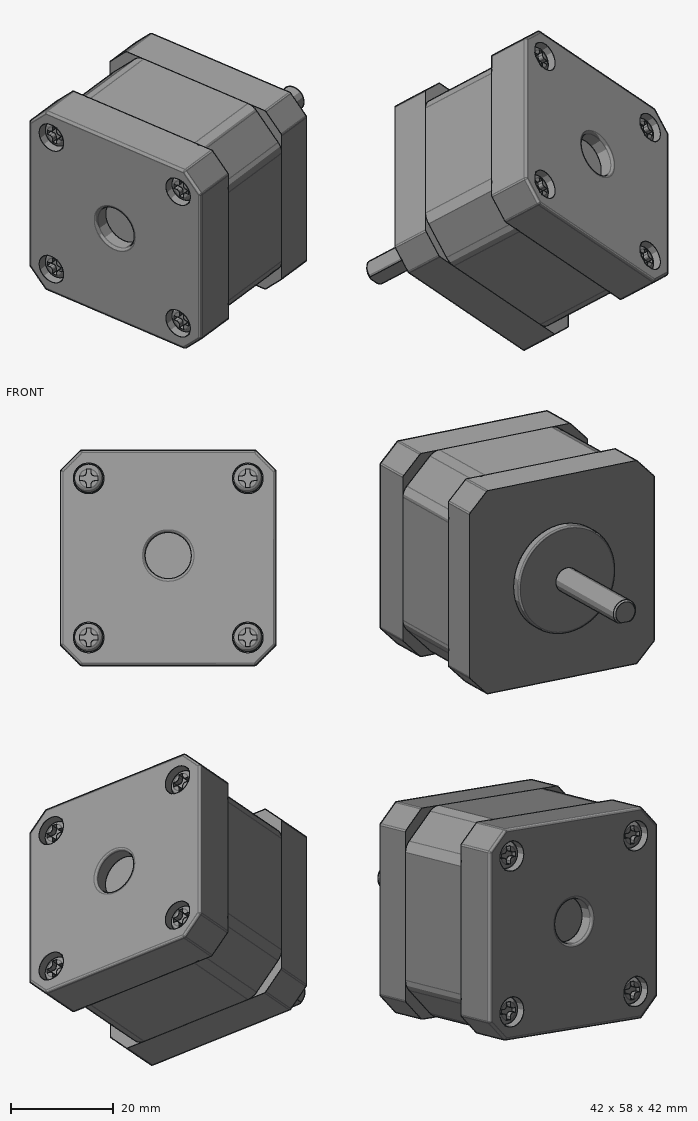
import cadquery as cq


total_length = 58.0
body_width = 42.0

rear_cap_length = 9.0
stator_length = 17.1
front_cap_length = 8.0
boss_length = 1.9

cap_corner_cut = 4.0
edge_fillet = 0.5

stator_corner_cut = 7.0
stator_corner_fillet = 3.0

boss_diameter = 22.0
boss_fillet = 0.35
shaft_diameter = 5.05
shaft_chamfer = 0.35
shaft_flat_offset = 2.0

rear_hole_rise = 0.45
rear_hole_diameter = 9.0
rear_hole_depth = 3.0

screw_spacing = 31.0
counterbore_diameter = 6.0
head_diameter = 5.5
head_height = 2.0
head_fillet = 0.9
head_sink = 1.05
cross_span = 3.6
cross_slot_width = 0.9
cross_inner_fillet = 0.7
cross_depth = 1.15

stator_start = rear_cap_length
front_cap_start = stator_start + stator_length
boss_start = front_cap_start + front_cap_length
shaft_start = boss_start + boss_length
shaft_length = total_length - shaft_start
counterbore_depth = head_sink + head_height

half_spacing = screw_spacing / 2
screw_centers = [(x, z) for x in (-half_spacing, half_spacing) for z in (-half_spacing, half_spacing)]


def section_at(x, y, z):
    """Workplane across the motor axis; extruding by a negative length goes toward +Y."""
    return cq.Workplane("XZ", origin=(x, y, z))


def cylinder(x, y, z, diameter, length):
    """Cylinder that starts at (x, y, z) and runs along +Y."""
    return section_at(x, y, z).circle(diameter / 2).extrude(-length)


def cut_corner_block(y, length, corner_cut, corner_fillet):
    """Square block with 45 degree corners whose eight lengthwise edges are rounded."""
    block = section_at(0, y, 0).rect(body_width, body_width).extrude(-length)
    return block.edges("|Y").chamfer(corner_cut).edges("|Y").fillet(corner_fillet)


def make_rear_cap():
    """Rear cap with a rounded rear rim, a blind centre hole and four screw counterbores."""
    cap = cut_corner_block(0, rear_cap_length, cap_corner_cut, edge_fillet)
    cap = cap.faces("<Y").edges().fillet(edge_fillet)

    cap = cap.cut(cylinder(0, 0, rear_hole_rise, rear_hole_diameter, rear_hole_depth))
    cap = cap.faces("<Y").edges("%CIRCLE").fillet(edge_fillet)

    for x, z in screw_centers:
        cap = cap.cut(cylinder(x, 0, z, counterbore_diameter, counterbore_depth))
    return cap


def make_stator():
    return cut_corner_block(stator_start, stator_length, stator_corner_cut, stator_corner_fillet)


def make_shaft():
    """Shaft with a chamfered end and a flat along its -Z side."""
    shaft = cylinder(0, shaft_start, 0, shaft_diameter, shaft_length)
    shaft = shaft.faces(">Y").chamfer(shaft_chamfer)
    flat_center_z = -shaft_flat_offset - shaft_diameter / 2
    flat_cutter = section_at(0, shaft_start, flat_center_z).rect(shaft_diameter, shaft_diameter)
    return shaft.cut(flat_cutter.extrude(-shaft_length))


def make_front_cap():
    """Front cap in one piece with its pilot boss and the shaft."""
    cap = cut_corner_block(front_cap_start, front_cap_length, cap_corner_cut, edge_fillet)
    boss = cylinder(0, boss_start, 0, boss_diameter, boss_length)
    boss = boss.faces(">Y").edges().fillet(boss_fillet)
    return cap.union(boss).union(make_shaft())


def make_cross_cutter():
    """Cross with rounded inner corners, centred on the Y axis at the top of the screw head."""
    top = section_at(0, head_sink, 0)
    wide_arm = top.rect(cross_span, cross_slot_width).extrude(-cross_depth)
    tall_arm = top.rect(cross_slot_width, cross_span).extrude(-cross_depth)
    cross = wide_arm.union(tall_arm)

    reach = cross_slot_width
    around_center = cq.selectors.BoxSelector((-reach, 0, -reach), (reach, counterbore_depth, reach))
    return cross.edges("|Y").edges(around_center).fillet(cross_inner_fillet)


def make_screw(x, z):
    """Round screw head with a cross recess, seated on its counterbore floor."""
    head = cylinder(0, head_sink, 0, head_diameter, head_height)
    head = head.faces("<Y").edges().fillet(head_fillet)
    return head.cut(make_cross_cutter()).translate((x, 0, z))


rear_cap = make_rear_cap()
stator = make_stator()
front_cap = make_front_cap()
screws = [make_screw(x, z) for x, z in screw_centers]

bodies = [rear_cap, stator, front_cap, *screws]
result = cq.Compound.makeCompound([body.solids().val() for body in bodies])